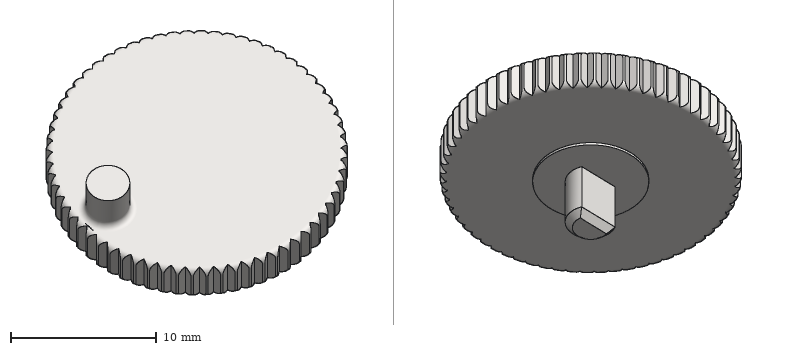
import cadquery as cq
import math

disk_diameter = 20.75
tooth_count = 64
tooth_depth = 0.44
disk_thickness = 3.0
edge_radius = 0.5

pin_diameter = 3.0
pin_height = 3.0
pin_offset_x = -4.52

hub_diameter = 8.0
hub_height = 0.2

shaft_diameter = 3.52
shaft_length = 4.08
shaft_flat_offset = 0.77
shaft_chamfer = 0.5

tooth_pitch = 360.0 / tooth_count
disk_radius = disk_diameter / 2
top_face_radius = disk_radius - edge_radius

pin_radius = pin_diameter / 2
pin_root_radius = pin_radius + edge_radius
pin_offset_y = -math.sqrt((top_face_radius - pin_root_radius) ** 2 - pin_offset_x ** 2)


def rounded_disk():
    disk = cq.Workplane("XY").circle(disk_radius).extrude(disk_thickness)
    return disk.edges().fillet(edge_radius)


def rim_point(radius, angle):
    return (radius * math.cos(math.radians(angle)), radius * math.sin(math.radians(angle)))


def toothed_blank():
    """Prism with right-angled V grooves evenly spaced around flat-topped teeth."""
    root_radius = disk_radius - tooth_depth
    flank_run = (math.sqrt(2 * disk_radius ** 2 - root_radius ** 2) - root_radius) / 2
    flank_angle = math.degrees(math.atan2(flank_run, root_radius + flank_run))
    outline = []
    for i in range(tooth_count):
        groove_angle = i * tooth_pitch
        outline.append(rim_point(root_radius, groove_angle))
        outline.append(rim_point(disk_radius, groove_angle + flank_angle))
        outline.append(rim_point(disk_radius, groove_angle + tooth_pitch - flank_angle))
    return cq.Workplane("XY").polyline(outline).close().extrude(disk_thickness)


def crank_pin():
    """Pin with a concave root fillet, standing on the top face."""
    fillet_mid = edge_radius * (1 - math.sqrt(0.5))
    return (
        cq.Workplane("XZ")
        .lineTo(pin_root_radius, 0)
        .threePointArc((pin_radius + fillet_mid, fillet_mid), (pin_radius, edge_radius))
        .lineTo(pin_radius, pin_height)
        .lineTo(0, pin_height)
        .close()
        .revolve(360, (0, 0), (0, 1))
        .translate((pin_offset_x, pin_offset_y, disk_thickness))
    )


def hub():
    return cq.Workplane("XY").circle(hub_diameter / 2).extrude(-hub_height)


def d_shaft():
    """Shaft with one flat facing -X and a chamfered lower end."""
    shaft_radius = shaft_diameter / 2
    flat_half_width = math.sqrt(shaft_radius ** 2 - shaft_flat_offset ** 2)
    return (
        cq.Workplane("XY")
        .workplane(offset=-hub_height)
        .moveTo(-shaft_flat_offset, -flat_half_width)
        .threePointArc((shaft_radius, 0), (-shaft_flat_offset, flat_half_width))
        .close()
        .extrude(-shaft_length)
        .faces("<Z")
        .edges()
        .chamfer(shaft_chamfer)
    )


knurled_disk = toothed_blank().intersect(rounded_disk())
result = knurled_disk.union(hub()).union(d_shaft()).union(crank_pin())